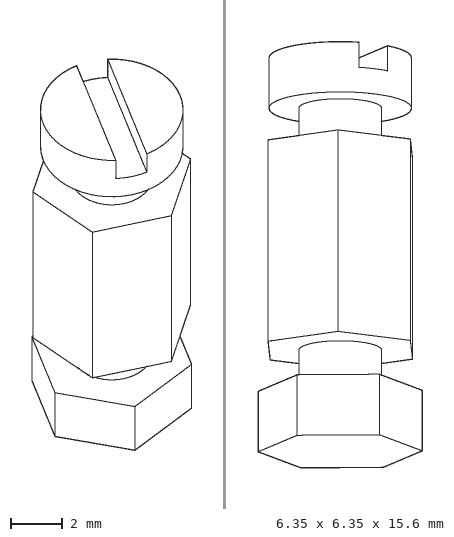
import cadquery as cq

total_height = 15.6
nut_height = 2.4
gap = 1.6
head_height = 2.0
spacer_height = total_height - nut_height - head_height - 2 * gap

across_corners = 6.35
shank_diameter = 3.2
head_diameter = 5.5

slot_width = 1.25
slot_depth = head_height / 2

spacer_bottom = nut_height + gap
head_bottom = total_height - head_height


def hexagon(bottom, height, turn):
    """Hexagonal prism; its corners lie on the X axis before the turn about Z."""
    prism = cq.Workplane("XY").workplane(offset=bottom).polygon(6, across_corners).extrude(height)
    return prism.rotate((0, 0, 0), (0, 0, 1), turn)


def cylinder(bottom, height, diameter):
    return cq.Workplane("XY").workplane(offset=bottom).circle(diameter / 2).extrude(height)


nut = hexagon(0, nut_height, 0)
spacer = hexagon(spacer_bottom, spacer_height, 30)
shank = cylinder(0, head_bottom, shank_diameter)

head = cylinder(head_bottom, head_height, head_diameter)
slot = (
    cq.Workplane("XY")
    .workplane(offset=total_height - slot_depth)
    .rect(2 * head_diameter, slot_width)
    .extrude(slot_depth)
)
head = head.cut(slot)

result = shank.union(nut).union(spacer).union(head)